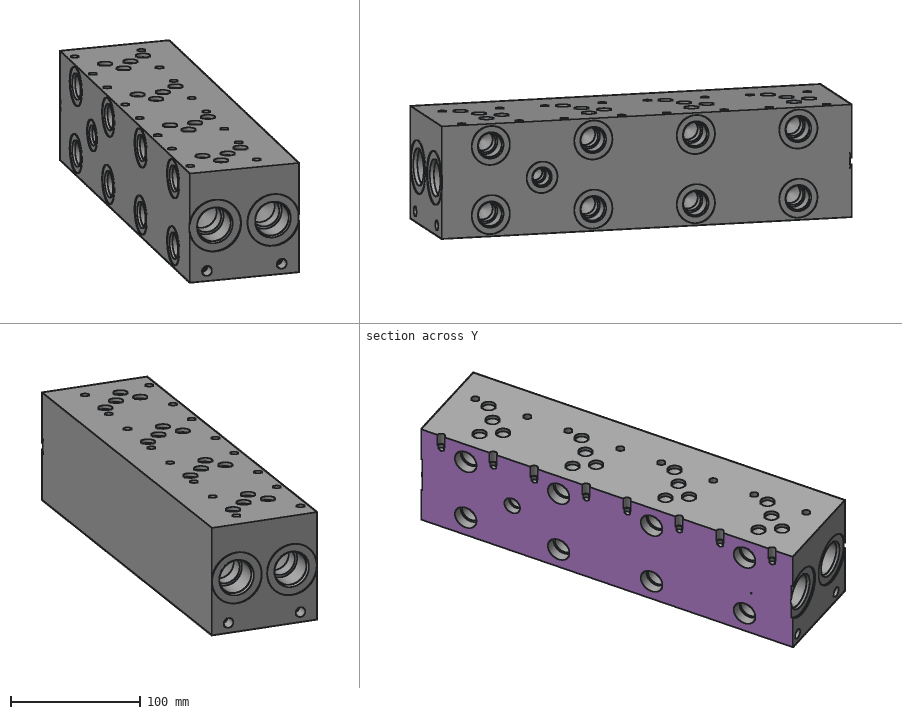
import cadquery as cq
import math

LENGTH = 330.2
DEPTH = 88.8
HEIGHT = 88.8

STATIONS = 4
PITCH = 82.5
FACE_DEPTH = 0.5
FAR_FACE_DEPTH = 1.3
DRILL_POINT = 118.0


WORK_X = 39.5
WORK_EDGE = 17.2
WORK_PORT = dict(
    face=30.7,
    rim=20.8,
    seat=19.0,
    thread=18.8,
    drill=16.0,
    seat_end=2.5,
    thread_end=15.0,
    end=23.0,
)

GAUGE_X = WORK_X + PITCH / 2
GAUGE_PORT = dict(
    face=24.8,
    rim=16.0,
    seat=14.5,
    thread=13.5,
    drill=11.2,
    seat_end=2.5,
    thread_end=13.2,
    end=19.8,
)

MAIN_SPACING = 46.5
FAR_MAIN_SPACING = 47.2
MAIN_PORT = dict(
    face=42.0,
    rim=29.0,
    seat=27.5,
    thread=27.0,
    drill=23.0,
    seat_end=3.5,
    thread_end=21.5,
    end=33.0,
)

END_BOLT_SPACING = 60.8
END_BOLT_Z = 8.3
END_BOLT = dict(thread=8.0, drill=6.5, thread_end=11.5, end=15.0)

PATTERN_X = 17.8
PATTERN_Y = 6.3
BOLT_SPAN_X = 46.2
BOLT_SPAN_Y = 54.0
TOP_BOLT = dict(thread=6.3, drill=5.0, thread_end=10.0, end=13.2)

VALVE_HOLE_DIAMETER = 11.2
VALVE_HOLE_DEPTH = 3.0
VALVE_HOLES = [(13.5, 51.2), (24.8, 37.3), (40.0, 27.0), (24.8, 17.0)]


def turned_cutter(profile, position, direction):
    """Solid of revolution for (radius, depth) points, sunk from position along direction."""
    solid = cq.Workplane("XZ").polyline(profile).close()
    solid = solid.revolve(360, (0, 0, 0), (0, 1, 0)).val()
    plane = cq.Plane(origin=position, normal=direction)
    return solid.located(cq.Location(plane))


def drill_end(diameter, depth):
    """Last two profile points of a drilled hole: full radius, then the tip of the point."""
    radius = diameter / 2
    tip = radius / math.tan(math.radians(DRILL_POINT / 2))
    return [(radius, depth), (0, depth + tip)]


def port(size, position, direction, face_depth=FACE_DEPTH):
    """Spot-faced port with a conical seat, a thread bore and a tap drill."""
    profile = [
        (0, 0),
        (size["face"] / 2, 0),
        (size["face"] / 2, face_depth),
        (size["rim"] / 2, face_depth),
        (size["seat"] / 2, size["seat_end"]),
        (size["thread"] / 2, size["seat_end"]),
        (size["thread"] / 2, size["thread_end"]),
        (size["drill"] / 2, size["thread_end"]),
    ]
    return turned_cutter(profile + drill_end(size["drill"], size["end"]), position, direction)


def tapped_hole(size, position, direction):
    """Blind hole with a thread bore above a narrower tap drill."""
    profile = [
        (0, 0),
        (size["thread"] / 2, 0),
        (size["thread"] / 2, size["thread_end"]),
        (size["drill"] / 2, size["thread_end"]),
    ]
    return turned_cutter(profile + drill_end(size["drill"], size["end"]), position, direction)


def plain_hole(diameter, depth, position, direction):
    """Blind drilled hole."""
    profile = [(0, 0), (diameter / 2, 0)]
    return turned_cutter(profile + drill_end(diameter, depth), position, direction)


INTO_FRONT = (0, 1, 0)
INTO_NEAR_END = (1, 0, 0)
INTO_FAR_END = (-1, 0, 0)
INTO_TOP = (0, 0, -1)

cutters = []

for station in range(STATIONS):
    for z in (WORK_EDGE, HEIGHT - WORK_EDGE):
        cutters.append(port(WORK_PORT, (WORK_X + station * PITCH, 0, z), INTO_FRONT))
cutters.append(port(GAUGE_PORT, (GAUGE_X, 0, HEIGHT / 2), INTO_FRONT))

ENDS = [
    (0, INTO_NEAR_END, MAIN_SPACING, FACE_DEPTH),
    (LENGTH, INTO_FAR_END, FAR_MAIN_SPACING, FAR_FACE_DEPTH),
]
for end_x, inward, spacing, face_depth in ENDS:
    for side in (-1, 1):
        port_y = DEPTH / 2 + side * spacing / 2
        bolt_y = DEPTH / 2 + side * END_BOLT_SPACING / 2
        cutters.append(port(MAIN_PORT, (end_x, port_y, HEIGHT / 2), inward, face_depth))
        cutters.append(tapped_hole(END_BOLT, (end_x, bolt_y, END_BOLT_Z), inward))

for station in range(STATIONS):
    start_x = PATTERN_X + station * PITCH
    for dx in (0, BOLT_SPAN_X):
        for dy in (0, BOLT_SPAN_Y):
            place = (start_x + dx, PATTERN_Y + dy, HEIGHT)
            cutters.append(tapped_hole(TOP_BOLT, place, INTO_TOP))
    for dx, dy in VALVE_HOLES:
        place = (start_x + dx, PATTERN_Y + dy, HEIGHT)
        cutters.append(plain_hole(VALVE_HOLE_DIAMETER, VALVE_HOLE_DEPTH, place, INTO_TOP))

block = cq.Workplane("XY").box(LENGTH, DEPTH, HEIGHT, centered=False)
for cutter in cutters:
    block = block.cut(cq.Workplane(cutter))

result = block